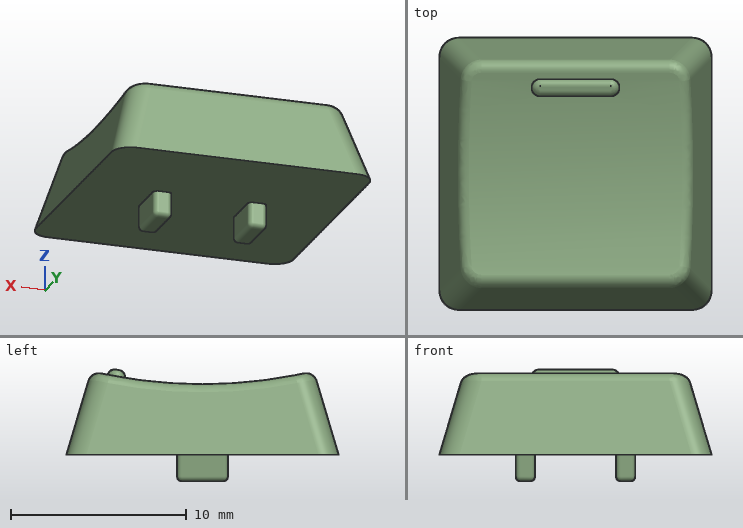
import cadquery as cq
import math

base_side = 15.5
wall_slope = 0.298
corner_radius = 1.2
blank_height = 6.0

dish_radius = 27.2
dish_floor_z = 4.03
rim_fillet = 0.65

bar_length = 5.0
bar_width = 1.0
bar_y = 4.9
bar_height = 0.38
bar_fillet = 0.4
bar_root_z = dish_floor_z - bar_width / 2

leg_spacing = 5.7
leg_width = 1.1
leg_depth = 2.9
leg_length = 1.5
leg_fillet = 0.27


def make_blank():
    """Tapered block with its four sloping corner edges rounded."""
    taper = math.degrees(math.atan(wall_slope))
    block = cq.Workplane("XY").rect(base_side, base_side).extrude(blank_height, taper=taper)
    return block.edges("not(#Z)").fillet(corner_radius)


def dish_cylinder(radius):
    """Long cylinder of the given radius about the dish axis."""
    return (
        cq.Workplane("YZ")
        .center(0, dish_floor_z + dish_radius)
        .circle(radius)
        .extrude(base_side, both=True)
    )


def make_cap():
    """Blank cut by the dish cylinder, with the rim around the dish rounded."""
    cap = make_blank().cut(dish_cylinder(dish_radius))
    dish_centre = cq.selectors.NearestToPointSelector((0, 0, dish_floor_z))
    return cap.faces(dish_centre).edges().fillet(rim_fillet)


def make_homing_bar():
    """Round-ended bar rooted inside the cap; its rounded top runs parallel to the dish."""
    bar = (
        cq.Workplane("XY", origin=(0, bar_y, bar_root_z))
        .slot2D(bar_length, bar_width)
        .extrude(blank_height - bar_root_z)
    )
    bar = bar.cut(dish_cylinder(dish_radius - bar_height))
    return bar.faces(">Z").edges().fillet(bar_fillet)


def make_legs():
    """Pair of rectangular legs with rounded upright edges and tips, hanging from the base."""
    return (
        cq.Workplane("XY")
        .pushPoints([(-leg_spacing / 2, 0), (leg_spacing / 2, 0)])
        .rect(leg_width, leg_depth)
        .extrude(-leg_length)
        .edges("|Z or <Z")
        .fillet(leg_fillet)
    )


result = make_cap().union(make_homing_bar()).union(make_legs())